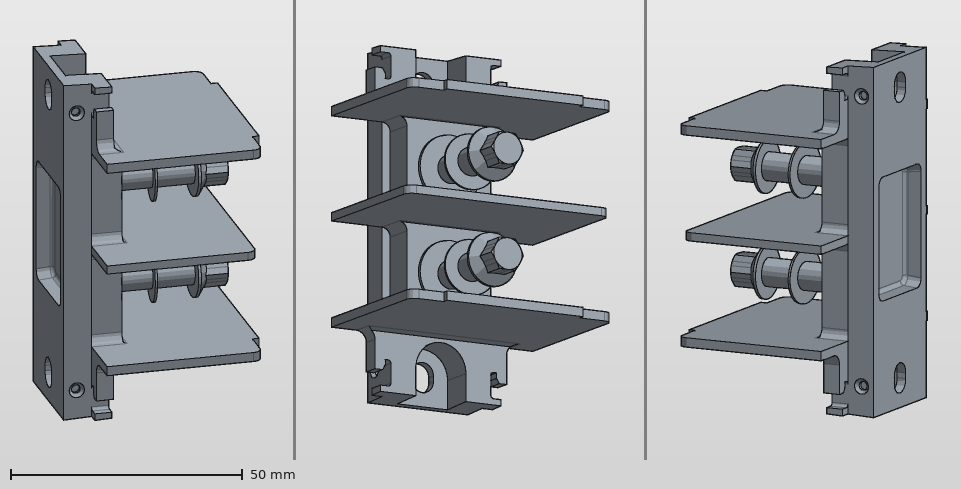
import cadquery as cq
import math


HEIGHT = 77.2
PLATE_WIDTH = 24.85
PLATE_DEPTH = 6.25
END_DEPTH = 10.1
END_DRAFT = 0.4

FIN_WIDTH = 50.0
FIN_CORNER = 2.0
OUTER_FIN_LOW = 22.3
OUTER_FIN_THICKNESS = 2.1
OUTER_FIN_HIGH = OUTER_FIN_LOW + OUTER_FIN_THICKNESS
OUTER_FIN_BACK = 41.1
OUTER_TONGUE_BACK = 42.5
OUTER_TONGUE_WIDTH = 33.8
MIDDLE_FIN_THICKNESS = 1.85
MIDDLE_FIN_BACK = 39.8

LEG_SPAN = 32.7
LEG_TOP = 33.35
LEG_FOOT_RADIUS = 2.5
LEG_FOOT_REACH = 1.55
NOTCH_WIDTH = 1.4
NOTCH_FLOOR = 31.0
NOTCH_FILLET = 0.7
LEG_CHAMFER_WIDTH = 0.7
LEG_CHAMFER_HEIGHT = 1.1
TAB_SPAN = 29.95
TAB_LOW = 36.8
TAB_FILLET = 0.7

BLOCK_WIDTH = 20.85
BLOCK_BACK = 13.6
BLOCK_FOOT_RADIUS = 2.0
BLOCK_FOOT_REACH = 0.6
PAD_DIAMETER = 15.1
PAD_BACK = 14.35

POCKET_WIDTH = 19.85
POCKET_HEIGHT = 27.3
POCKET_DEPTH = 3.85
POCKET_CORNER = 1.9
POCKET_DRAFT_ANGLE = 7.0
POCKET_FLOOR_FILLET = 1.0

MOUNT_Z = 32.0
MOUNT_HOLE_WIDTH = 5.4
MOUNT_HOLE_HEIGHT = 6.65
HEAD_SLOT_WIDTH = 12.4
HEAD_SLOT_FRONT = 2.1
SINK_Y = 2.9
SINK_Z = 31.95
SINK_DIAMETER = 3.4
SINK_DEPTH = 0.8
SIDE_HOLE_DIAMETER = 1.9
SIDE_HOLE_DEPTH = 1.55

SCREW_Z = 11.65
SHAFT_DIAMETER = 6.3
FLANGE_FRONT = 32.0
FLANGE_RIM_BACK = 32.65
FLANGE_DIAMETER = 11.9
CONE_BACK = 34.5
HEAD_BACK = 39.4
HEAD_ACROSS_FLATS = 6.95
HEAD_ROUND_DIAMETER = 7.0
HEAD_CORNER_CHAMFER = 0.3
WASHER_DIAMETER = 12.3
WASHER_THICKNESS = 0.5
WASHER_Y = 23.15
WASHER_TILT = 6.0


def box_between(x_range, y_range, z_range):
    """Box given by its two limits along each axis."""
    (x0, x1), (y0, y1), (z0, z1) = x_range, y_range, z_range
    return cq.Workplane("XY").box(x1 - x0, y1 - y0, z1 - z0, centered=False).translate((x0, y0, z0))


def cylinder_along_y(diameter, y0, y1, z=0):
    return cq.Workplane("XZ", origin=(0, y0, z)).circle(diameter / 2).extrude(y0 - y1)


def in_both_halves(upper):
    """Upper-half shape joined with its mirror image below Z = 0."""
    return upper.union(upper.mirror("XY"))


def flared_block(width, front, back, height, radius, back_reach):
    """Block standing on Z = 0 whose foot flares out at both sides and at the back.

    The side flares are tangent quarter rounds. The back flare is the outer part
    of such a round, back_reach long. The flares meet in mitres.
    """
    half = width / 2
    diagonal = radius * math.sqrt(0.5)
    across = (
        cq.Workplane("XZ", origin=(0, front, 0))
        .moveTo(-half - radius, 0)
        .lineTo(half + radius, 0)
        .threePointArc((half + radius - diagonal, radius - diagonal), (half, radius))
        .lineTo(half, height)
        .lineTo(-half, height)
        .lineTo(-half, radius)
        .threePointArc((-half - radius + diagonal, radius - diagonal), (-half - radius, 0))
        .close()
        .extrude(-(back + back_reach - front))
    )
    flare_angle = math.asin(back_reach / radius)
    foot_back = back + back_reach
    middle = (
        foot_back - radius * math.sin(flare_angle / 2),
        radius * (1 - math.cos(flare_angle / 2)),
    )
    along = (
        cq.Workplane("YZ")
        .moveTo(front, 0)
        .lineTo(foot_back, 0)
        .threePointArc(middle, (back, radius * (1 - math.cos(flare_angle))))
        .lineTo(back, height)
        .lineTo(front, height)
        .close()
        .extrude(half + radius, both=True)
    )
    return across.intersect(along)


def make_plate():
    return box_between(
        (-PLATE_WIDTH / 2, PLATE_WIDTH / 2), (0, PLATE_DEPTH), (-HEIGHT / 2, HEIGHT / 2)
    )


def make_fin(back, z_low, thickness):
    fin = box_between(
        (-FIN_WIDTH / 2, FIN_WIDTH / 2), (PLATE_DEPTH, back), (z_low, z_low + thickness)
    )
    return fin.edges("|Z and >Y").fillet(FIN_CORNER)


def make_outer_fin():
    tongue = box_between(
        (-OUTER_TONGUE_WIDTH / 2, OUTER_TONGUE_WIDTH / 2),
        (PLATE_DEPTH, OUTER_TONGUE_BACK),
        (OUTER_FIN_LOW, OUTER_FIN_HIGH),
    )
    return make_fin(OUTER_FIN_BACK, OUTER_FIN_LOW, OUTER_FIN_THICKNESS).union(tongue)


def make_legs():
    """Wide bar with a flared foot on the outer fin, ending in a notched clip leg at each side."""
    legs = flared_block(
        LEG_SPAN, PLATE_DEPTH, END_DEPTH, LEG_TOP - OUTER_FIN_HIGH, LEG_FOOT_RADIUS, LEG_FOOT_REACH
    ).translate((0, 0, OUTER_FIN_HIGH))
    wall = PLATE_WIDTH / 2
    notch = (
        cq.Workplane("XZ", origin=(0, PLATE_DEPTH, 0))
        .moveTo(wall, LEG_TOP)
        .lineTo(wall, NOTCH_FLOOR + NOTCH_FILLET)
        .radiusArc((wall + NOTCH_FILLET, NOTCH_FLOOR), -NOTCH_FILLET)
        .lineTo(wall + NOTCH_WIDTH, NOTCH_FLOOR)
        .lineTo(wall + NOTCH_WIDTH, LEG_TOP - LEG_CHAMFER_HEIGHT)
        .lineTo(wall + NOTCH_WIDTH + LEG_CHAMFER_WIDTH, LEG_TOP)
        .close()
        .extrude(PLATE_DEPTH - END_DEPTH)
    )
    return legs.cut(notch).cut(notch.mirror("YZ"))


def make_end_bar():
    """Thick end of the housing with a tab at each side."""
    wall = PLATE_WIDTH / 2
    tab_end = TAB_SPAN / 2
    top = HEIGHT / 2
    return (
        cq.Workplane("XZ", origin=(0, PLATE_DEPTH, 0))
        .moveTo(-wall, OUTER_FIN_HIGH)
        .lineTo(wall, OUTER_FIN_HIGH)
        .lineTo(wall, TAB_LOW - TAB_FILLET)
        .radiusArc((wall + TAB_FILLET, TAB_LOW), TAB_FILLET)
        .lineTo(tab_end, TAB_LOW)
        .lineTo(tab_end, top)
        .lineTo(-tab_end, top)
        .lineTo(-tab_end, TAB_LOW)
        .lineTo(-wall - TAB_FILLET, TAB_LOW)
        .radiusArc((-wall, TAB_LOW - TAB_FILLET), TAB_FILLET)
        .close()
        .extrude(PLATE_DEPTH - END_DEPTH)
    )


def make_terminal_block():
    """Block filling the space between the middle and outer fins, with a round pad."""
    low = MIDDLE_FIN_THICKNESS / 2
    span = OUTER_FIN_LOW - low
    foot = flared_block(
        BLOCK_WIDTH, PLATE_DEPTH, BLOCK_BACK, span, BLOCK_FOOT_RADIUS, BLOCK_FOOT_REACH
    )
    lower = foot.translate((0, 0, low))
    upper = foot.mirror("XY").translate((0, 0, OUTER_FIN_LOW))
    pad = cylinder_along_y(PAD_DIAMETER, PLATE_DEPTH, PAD_BACK, SCREW_Z)
    return lower.union(upper).union(pad)


def make_end_draft():
    """Wedge removed from the top so that the end face falls back towards +Y."""
    top = HEIGHT / 2
    return (
        cq.Workplane("YZ")
        .polyline([(0, top), (END_DEPTH, top), (END_DEPTH, top - END_DRAFT)])
        .close()
        .extrude(TAB_SPAN / 2, both=True)
    )


def make_mounting_hole():
    """Upright oval hole behind which a round-bottomed slot opens at the end of the housing."""
    hole = (
        cq.Workplane("XZ", origin=(0, 0, MOUNT_Z))
        .slot2D(MOUNT_HOLE_HEIGHT, MOUNT_HOLE_WIDTH, 90)
        .extrude(-END_DEPTH)
    )
    slot_round = cylinder_along_y(HEAD_SLOT_WIDTH, HEAD_SLOT_FRONT, END_DEPTH, MOUNT_Z)
    slot_opening = box_between(
        (-HEAD_SLOT_WIDTH / 2, HEAD_SLOT_WIDTH / 2),
        (HEAD_SLOT_FRONT, END_DEPTH),
        (MOUNT_Z, HEIGHT / 2),
    )
    return hole.union(slot_round).union(slot_opening)


def make_side_countersinks():
    """Blind countersunk hole in each side of the plate."""
    mouth = cq.Vector(-PLATE_WIDTH / 2, SINK_Y, SINK_Z)
    inward = cq.Vector(1, 0, 0)
    cone = cq.Solid.makeCone(SINK_DIAMETER / 2, SIDE_HOLE_DIAMETER / 2, SINK_DEPTH, mouth, inward)
    bore = cq.Solid.makeCylinder(SIDE_HOLE_DIAMETER / 2, SIDE_HOLE_DEPTH, mouth, inward)
    left = cq.Workplane(cone).union(cq.Workplane(bore))
    return left.union(left.mirror("YZ"))


def make_pocket():
    pocket = (
        cq.Workplane("XZ")
        .rect(POCKET_WIDTH, POCKET_HEIGHT)
        .extrude(-POCKET_DEPTH, taper=POCKET_DRAFT_ANGLE)
        .edges("not(#Y)")
        .fillet(POCKET_CORNER)
    )
    return pocket.faces(">Y").edges().fillet(POCKET_FLOOR_FILLET)


def make_housing():
    end_and_block = (
        make_outer_fin().union(make_legs()).union(make_end_bar()).union(make_terminal_block())
    )
    middle_fin = make_fin(MIDDLE_FIN_BACK, -MIDDLE_FIN_THICKNESS / 2, MIDDLE_FIN_THICKNESS)
    solid = make_plate().union(middle_fin).union(in_both_halves(end_and_block))
    for cutter in (make_end_draft(), make_mounting_hole(), make_side_countersinks()):
        solid = solid.cut(cutter).cut(cutter.mirror("XY"))
    return solid.cut(make_pocket())


def make_screw_head():
    """Hexagon with a round core, its corners chamfered at the free end."""
    length = HEAD_BACK - FLANGE_RIM_BACK
    across_corners = HEAD_ACROSS_FLATS / math.cos(math.pi / 6)
    hexagon = (
        cq.Workplane("XZ", origin=(0, FLANGE_RIM_BACK, 0)).polygon(6, across_corners).extrude(-length)
    )
    corner_limit = cylinder_along_y(across_corners, FLANGE_RIM_BACK, HEAD_BACK)
    corner_limit = corner_limit.faces(">Y").chamfer(
        HEAD_CORNER_CHAMFER, (across_corners - HEAD_ROUND_DIAMETER) / 2
    )
    core = cylinder_along_y(HEAD_ROUND_DIAMETER, FLANGE_RIM_BACK, HEAD_BACK)
    return hexagon.intersect(corner_limit).union(core)


def make_washer():
    """Washer fixed on the shaft, tilted about the Z direction so that its -X side lies further back."""
    washer = cylinder_along_y(WASHER_DIAMETER, -WASHER_THICKNESS / 2, WASHER_THICKNESS / 2)
    return washer.rotate((0, 0, 0), (0, 0, 1), -WASHER_TILT).translate((0, WASHER_Y, 0))


def make_screw(z):
    """Screw standing on its pad: shaft with fixed washer, conical flange and hexagon head."""
    shank = (
        cq.Workplane("XY")
        .moveTo(0, PAD_BACK)
        .lineTo(-SHAFT_DIAMETER / 2, PAD_BACK)
        .lineTo(-SHAFT_DIAMETER / 2, FLANGE_FRONT)
        .lineTo(-FLANGE_DIAMETER / 2, FLANGE_FRONT)
        .lineTo(-FLANGE_DIAMETER / 2, FLANGE_RIM_BACK)
        .lineTo(-HEAD_ROUND_DIAMETER / 2, CONE_BACK)
        .lineTo(0, CONE_BACK)
        .close()
        .revolve(360, (0, 0, 0), (0, 1, 0))
    )
    return shank.union(make_washer()).union(make_screw_head()).translate((0, 0, z))


housing = make_housing()
screws = [make_screw(side * SCREW_Z) for side in (-1, 1)]

result = cq.Compound.makeCompound([housing.solids().val(), *[screw.solids().val() for screw in screws]])